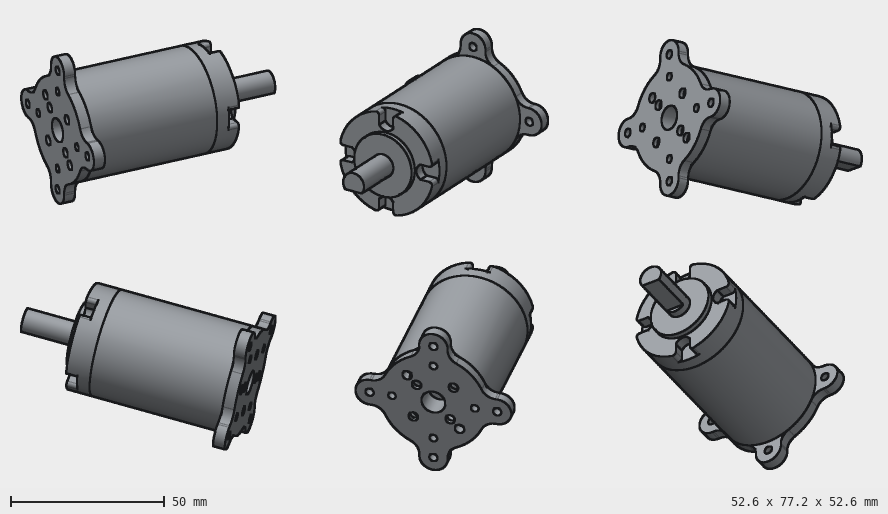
import cadquery as cq
import math

total_length = 77.2

body_dia = 36.0
flange_thickness = 4.0
flange_width = 52.6
lug_radius = 4.8
lug_fillet = 5.0
lug_count = 4
lug_hole_dia = 2.8
recess_dia = 22.4
recess_floor = 1.8
hub_dia = 12.0
hub_length = 12.0
shaft_dia = 8.0
small_hole_dia = 2.55
small_hole_radius = 14.0
motor_hole_dia = 3.2
cross_hole_radius = 9.6
inner_hole_radius = 8.0
outer_hole_radius = 12.5
rising_diagonal = 45
falling_diagonal = 135

can_top = 49.0
can_bore_dia = 22.4
cap_top = 57.2
boss_top = 59.2
boss_dia = 22.0
notch_count = 4
notch_bottom = 53.3
notch_width = 5.3
notch_lip_radius = 1.15
notch_floor_dia = 6.0
notch_floor_height = 11.6

shaft_bottom = 8.0
flat_start = 62.1
flat_offset = 2.5

body_radius = body_dia / 2
lug_center_radius = flange_width / 2 - lug_radius
lug_pitch = 360 / lug_count
notch_pitch = 360 / notch_count


def cylinder(diameter, start, end, x=0.0, z=0.0):
    """Cylinder parallel to Y, from Y = start to Y = end."""
    axis_point = cq.Vector(x, start, z)
    return cq.Workplane(cq.Solid.makeCylinder(diameter / 2, end - start, axis_point, cq.Vector(0, 1, 0)))


def polar_cylinder(diameter, start, end, radius, angle):
    """Cylinder parallel to Y, off the motor axis, with the angle going from +X to +Z."""
    turn = math.radians(angle)
    return cylinder(diameter, start, end, radius * math.cos(turn), radius * math.sin(turn))


def turned_about_axis(shape, angle):
    return shape.rotate((0, 0, 0), (0, 1, 0), angle)


def prism(profile, start, end):
    """Extrude a closed XZ profile, drawn on a plane with +Z up, from Y = start to Y = end."""
    return profile.extrude(start - end).translate((0, start, 0))


def make_lug():
    """Lug on +Z, blended into the flange disc by a concave arc on each side."""
    fillet_x = lug_radius + lug_fillet
    fillet_z = math.sqrt((body_radius + lug_fillet) ** 2 - fillet_x ** 2)
    reach = body_radius / (body_radius + lug_fillet)
    root_x = fillet_x * reach
    root_z = fillet_z * reach
    middle_angle = math.pi + math.atan2(fillet_z, fillet_x) / 2
    middle_x = fillet_x + lug_fillet * math.cos(middle_angle)
    middle_z = fillet_z + lug_fillet * math.sin(middle_angle)
    profile = (
        cq.Workplane("XZ")
        .moveTo(0, 0)
        .lineTo(root_x, root_z)
        .threePointArc((middle_x, middle_z), (lug_radius, fillet_z))
        .lineTo(lug_radius, lug_center_radius)
        .threePointArc((0, flange_width / 2), (-lug_radius, lug_center_radius))
        .lineTo(-lug_radius, fillet_z)
        .threePointArc((-middle_x, middle_z), (-root_x, root_z))
        .close()
    )
    return prism(profile, 0, flange_thickness)


def make_flange():
    flange = cylinder(body_dia, 0, flange_thickness)
    lug = make_lug()
    for i in range(lug_count):
        flange = flange.union(turned_about_axis(lug, i * lug_pitch))
    flange = flange.cut(cylinder(recess_dia, recess_floor, flange_thickness))
    flange = flange.union(cylinder(hub_dia, 0, hub_length))
    flange = flange.cut(cylinder(shaft_dia, 0, hub_length))

    for i in range(lug_count):
        angle = i * lug_pitch
        flange = flange.cut(polar_cylinder(lug_hole_dia, 0, flange_thickness, lug_center_radius, angle))
        flange = flange.cut(polar_cylinder(small_hole_dia, 0, flange_thickness, small_hole_radius, angle))

    diagonal_pairs = [
        (cross_hole_radius, rising_diagonal),
        (inner_hole_radius, falling_diagonal),
        (outer_hole_radius, falling_diagonal),
    ]
    for radius, angle in diagonal_pairs:
        for side in (0, 180):
            hole = polar_cylinder(motor_hole_dia, 0, flange_thickness, radius, angle + side)
            flange = flange.cut(hole)
    return flange


def make_can():
    can = cylinder(body_dia, flange_thickness, can_top)
    return can.cut(cylinder(can_bore_dia, flange_thickness, can_top))


def make_notch():
    """Notch on +Z: flat side walls, a round hollow floor and a convex lip that runs out to the cap wall."""
    half_width = notch_width / 2
    lip_center_radius = body_radius - notch_lip_radius
    lip_x = half_width + notch_lip_radius
    lip_z = math.sqrt(lip_center_radius ** 2 - lip_x ** 2)
    edge_x = lip_x * body_radius / lip_center_radius
    edge_z = lip_z * body_radius / lip_center_radius
    middle_angle = (math.atan2(lip_z, lip_x) + math.pi) / 2
    middle_x = lip_x + notch_lip_radius * math.cos(middle_angle)
    middle_z = lip_z + notch_lip_radius * math.sin(middle_angle)

    floor_radius = notch_floor_dia / 2
    floor_rise = floor_radius - math.sqrt(floor_radius ** 2 - half_width ** 2)
    wall_z = notch_floor_height + floor_rise
    profile = (
        cq.Workplane("XZ")
        .moveTo(edge_x, edge_z)
        .threePointArc((middle_x, middle_z), (half_width, lip_z))
        .lineTo(half_width, wall_z)
        .threePointArc((0, notch_floor_height), (-half_width, wall_z))
        .lineTo(-half_width, lip_z)
        .threePointArc((-middle_x, middle_z), (-edge_x, edge_z))
        .lineTo(-edge_x, body_dia)
        .lineTo(edge_x, body_dia)
        .close()
    )
    return prism(profile, notch_bottom, cap_top)


def make_end_cap():
    cap = cylinder(body_dia, can_top, cap_top)
    cap = cap.union(cylinder(boss_dia, cap_top, boss_top))
    notch = make_notch()
    for i in range(notch_count):
        cap = cap.cut(turned_about_axis(notch, i * notch_pitch))
    return cap.cut(cylinder(shaft_dia, can_top, boss_top))


def make_shaft():
    """Round shaft with a flat facing -Z on its free end."""
    shaft = cylinder(shaft_dia, shaft_bottom, total_length)
    flat_depth = shaft_dia / 2 - flat_offset
    flat = cq.Workplane("XY").box(shaft_dia, total_length - flat_start, flat_depth, centered=(True, False, False))
    return shaft.cut(flat.translate((0, flat_start, -shaft_dia / 2)))


flange = make_flange()
can = make_can()
end_cap = make_end_cap()
shaft = make_shaft()

result = cq.Compound.makeCompound([flange.val(), can.val(), end_cap.val(), shaft.val()])